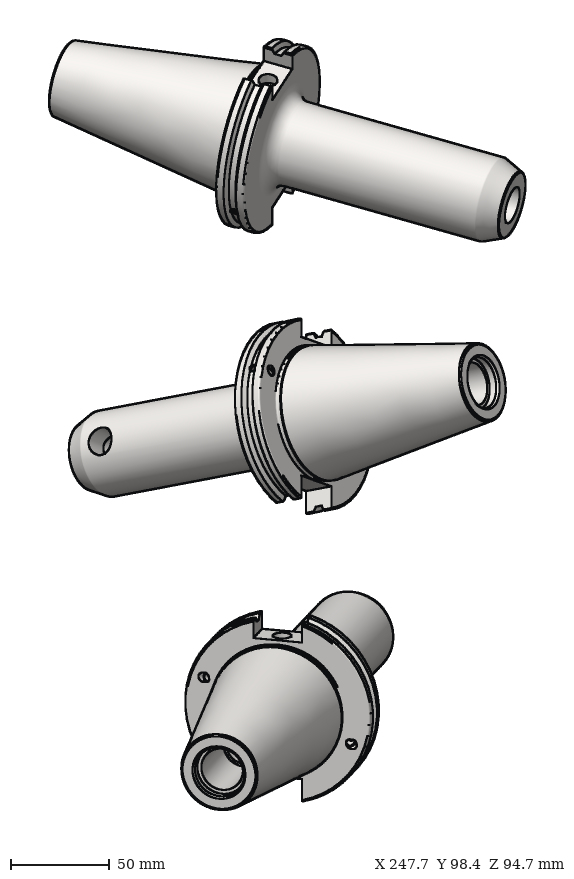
import cadquery as cq
import math


GAUGE_DIAMETER = 69.85
TAPER_RATE = 7 / 24
TAPER_LENGTH = 101.6
TAPER_END_CHAMFER = 0.8
RELIEF_DIAMETER = 69.25
RELIEF_START = 0.8
RELIEF_FILLET = 0.8

FLANGE_DIAMETER = 98.425
FLANGE_START = 3.175
FLANGE_END = 19.05
RIM_FILLET = 0.9
GROOVE_CENTRE = (FLANGE_START + FLANGE_END) / 2
GROOVE_FLOOR_DIAMETER = 92.7
GROOVE_FLOOR_WIDTH = 3.6
GROOVE_HALF_ANGLE = 30

SLOT_WIDTH = 25.7
SLOT_EDGE_CHAMFER = 0.6
UPPER_SLOT_FLOOR = 37.7
LOWER_SLOT_FLOOR = 35.3
DIMPLE_DIAMETER = 9.53
DIMPLE_DEPTH = 6.0
DRILL_POINT_ANGLE = 118

NOSE_DIAMETER = 44.45
NOSE_END = 146.05
NOSE_FILLET = 7.7
NOSE_CONE_LENGTH = 11.0
NOSE_CONE_BLEND = 0.4
NOSE_TIP_DIAMETER = 35.3
NOSE_TIP_CHAMFER = 0.5

PILOT_DIAMETER = 26.2
PILOT_DEPTH = 5.6
PILOT_CHAMFER_WIDTH = 0.9
PILOT_CHAMFER_DEPTH = 1.5
THREAD_DIAMETER = 21.97
THREAD_DEPTH = 45.0
BORE_DIAMETER = 19.05

SET_SCREW_DIAMETER = 14.35
SET_SCREW_SETBACK = 23.3

PORT_ANGLE = 20
PORT_RADIUS = 41.6
PORT_TILT = 30
PORT_MOUTH_DIAMETER = 5.0
PORT_MOUTH_DEPTH = 2.5
PORT_DIAMETER = 4.13
PORT_DEPTH = 11.0
CROSS_HOLE_DIAMETER = 3.24
CROSS_HOLE_MOUTH_DIAMETER = 4.2

TAPER_START = -TAPER_LENGTH


def taper_radius(x):
    return (GAUGE_DIAMETER + TAPER_RATE * x) / 2


def cylinder(start, direction, diameter, length):
    solid = cq.Solid.makeCylinder(diameter / 2, length, cq.Vector(start), cq.Vector(direction))
    return cq.Workplane(solid)


def turned_body():
    chamfer_end = TAPER_START + TAPER_END_CHAMFER
    flange_radius = FLANGE_DIAMETER / 2
    rim_bend = RIM_FILLET * (1 - math.sqrt(0.5))
    groove_radius = GROOVE_FLOOR_DIAMETER / 2
    floor_half = GROOVE_FLOOR_WIDTH / 2
    mouth_half = floor_half + (flange_radius - groove_radius) * math.tan(math.radians(GROOVE_HALF_ANGLE))
    nose_radius = NOSE_DIAMETER / 2
    fillet_end = FLANGE_END + NOSE_FILLET
    fillet_bend = NOSE_FILLET * (1 - math.sqrt(0.5))
    relief_radius = RELIEF_DIAMETER / 2
    relief_bend = RELIEF_FILLET * math.sqrt(0.5)
    tip_radius = NOSE_TIP_DIAMETER / 2
    cone_start = NOSE_END - NOSE_CONE_LENGTH
    cone_angle = math.atan2(nose_radius - tip_radius, NOSE_CONE_LENGTH - NOSE_TIP_CHAMFER)
    blend_end = (
        cone_start + NOSE_CONE_BLEND * math.cos(cone_angle),
        nose_radius - NOSE_CONE_BLEND * math.sin(cone_angle),
    )
    profile = (
        cq.Workplane("XY")
        .moveTo(TAPER_START, 0)
        .lineTo(TAPER_START, taper_radius(TAPER_START) - TAPER_END_CHAMFER)
        .lineTo(chamfer_end, taper_radius(chamfer_end))
        .lineTo(0, taper_radius(0))
        .lineTo(RELIEF_START, relief_radius)
        .lineTo(FLANGE_START - RELIEF_FILLET, relief_radius)
        .threePointArc(
            (FLANGE_START - RELIEF_FILLET + relief_bend, relief_radius + RELIEF_FILLET - relief_bend),
            (FLANGE_START, relief_radius + RELIEF_FILLET),
        )
        .lineTo(FLANGE_START, flange_radius - RIM_FILLET)
        .threePointArc(
            (FLANGE_START + rim_bend, flange_radius - rim_bend),
            (FLANGE_START + RIM_FILLET, flange_radius),
        )
        .lineTo(GROOVE_CENTRE - mouth_half, flange_radius)
        .lineTo(GROOVE_CENTRE - floor_half, groove_radius)
        .lineTo(GROOVE_CENTRE + floor_half, groove_radius)
        .lineTo(GROOVE_CENTRE + mouth_half, flange_radius)
        .lineTo(FLANGE_END - RIM_FILLET, flange_radius)
        .threePointArc(
            (FLANGE_END - rim_bend, flange_radius - rim_bend),
            (FLANGE_END, flange_radius - RIM_FILLET),
        )
        .lineTo(FLANGE_END, nose_radius + NOSE_FILLET)
        .threePointArc((FLANGE_END + fillet_bend, nose_radius + fillet_bend), (fillet_end, nose_radius))
        .lineTo(cone_start - NOSE_CONE_BLEND, nose_radius)
        .tangentArcPoint(blend_end, relative=False)
        .lineTo(NOSE_END - NOSE_TIP_CHAMFER, tip_radius)
        .lineTo(NOSE_END, tip_radius - NOSE_TIP_CHAMFER)
        .lineTo(NOSE_END, 0)
        .close()
    )
    return profile.revolve(360, (0, 0, 0), (1, 0, 0))


def stepped_bore():
    pilot_radius = PILOT_DIAMETER / 2
    thread_radius = THREAD_DIAMETER / 2
    bore_radius = BORE_DIAMETER / 2
    profile = (
        cq.Workplane("XY")
        .moveTo(TAPER_START, 0)
        .lineTo(TAPER_START, pilot_radius + PILOT_CHAMFER_WIDTH)
        .lineTo(TAPER_START + PILOT_CHAMFER_DEPTH, pilot_radius)
        .lineTo(TAPER_START + PILOT_DEPTH, pilot_radius)
        .lineTo(TAPER_START + PILOT_DEPTH, thread_radius)
        .lineTo(TAPER_START + THREAD_DEPTH, thread_radius)
        .lineTo(TAPER_START + THREAD_DEPTH, bore_radius)
        .lineTo(NOSE_END, bore_radius)
        .lineTo(NOSE_END, 0)
        .close()
    )
    return profile.revolve(360, (0, 0, 0), (1, 0, 0))


def drive_slot(floor):
    """A slot through the flange on the +Z side, widened by a chamfer along its rim edges."""
    half_width = SLOT_WIDTH / 2
    rim_half_width = half_width + SLOT_EDGE_CHAMFER
    rim_height = math.sqrt((FLANGE_DIAMETER / 2) ** 2 - rim_half_width**2)
    top = FLANGE_DIAMETER / 2
    outline = [
        (-half_width, floor),
        (half_width, floor),
        (half_width, rim_height - SLOT_EDGE_CHAMFER),
        (rim_half_width, rim_height),
        (rim_half_width, top),
        (-rim_half_width, top),
        (-rim_half_width, rim_height),
        (-half_width, rim_height - SLOT_EDGE_CHAMFER),
    ]
    return (
        cq.Workplane("YZ", origin=(FLANGE_START, 0, 0))
        .polyline(outline)
        .close()
        .extrude(FLANGE_END - FLANGE_START)
    )


def dimple():
    """A drilled blind hole in the floor of the upper drive slot."""
    radius = DIMPLE_DIAMETER / 2
    point_depth = radius / math.tan(math.radians(DRILL_POINT_ANGLE / 2))
    profile = (
        cq.Workplane("XZ")
        .lineTo(radius, 0)
        .lineTo(radius, -DIMPLE_DEPTH)
        .lineTo(0, -DIMPLE_DEPTH - point_depth)
        .close()
    )
    return profile.revolve(360, (0, 0, 0), (0, 1, 0)).translate((GROOVE_CENTRE, 0, UPPER_SLOT_FLOOR))


def set_screw_hole():
    """A radial hole from the axis out through the +Y side of the nose."""
    return cylinder((NOSE_END - SET_SCREW_SETBACK, 0, 0), (0, 1, 0), SET_SCREW_DIAMETER, NOSE_DIAMETER)


def coolant_port(angle):
    """A slanting stepped port and its countersunk cross hole, turned about X."""
    tilt = math.radians(PORT_TILT)
    direction = cq.Vector(math.cos(tilt), -math.sin(tilt), 0)
    face_centre = cq.Vector(FLANGE_START, PORT_RADIUS, 0)
    lead = PORT_MOUTH_DIAMETER
    mouth = cylinder(face_centre - direction * lead, direction, PORT_MOUTH_DIAMETER, lead + PORT_MOUTH_DEPTH)
    port = cylinder(face_centre, direction, PORT_DIAMETER, PORT_DEPTH)

    port_radius_at_groove = PORT_RADIUS - (GROOVE_CENTRE - FLANGE_START) * math.tan(tilt)
    floor_radius = GROOVE_FLOOR_DIAMETER / 2
    countersink = (CROSS_HOLE_MOUTH_DIAMETER - CROSS_HOLE_DIAMETER) / 2
    cross_hole = (
        cq.Workplane("XY", origin=(GROOVE_CENTRE, 0, 0))
        .moveTo(0, port_radius_at_groove)
        .lineTo(CROSS_HOLE_DIAMETER / 2, port_radius_at_groove)
        .lineTo(CROSS_HOLE_DIAMETER / 2, floor_radius - countersink)
        .lineTo(CROSS_HOLE_MOUTH_DIAMETER / 2, floor_radius)
        .lineTo(CROSS_HOLE_MOUTH_DIAMETER / 2, FLANGE_DIAMETER / 2)
        .lineTo(0, FLANGE_DIAMETER / 2)
        .close()
        .revolve(360, (0, 0, 0), (0, 1, 0))
    )
    return mouth.union(port).union(cross_hole).rotate((0, 0, 0), (1, 0, 0), angle)


result = turned_body().cut(stepped_bore())
result = result.cut(drive_slot(UPPER_SLOT_FLOOR))
result = result.cut(drive_slot(LOWER_SLOT_FLOOR).rotate((0, 0, 0), (1, 0, 0), 180))
result = result.cut(dimple()).cut(set_screw_hole())
for port_angle in (PORT_ANGLE, PORT_ANGLE + 180):
    result = result.cut(coolant_port(port_angle))